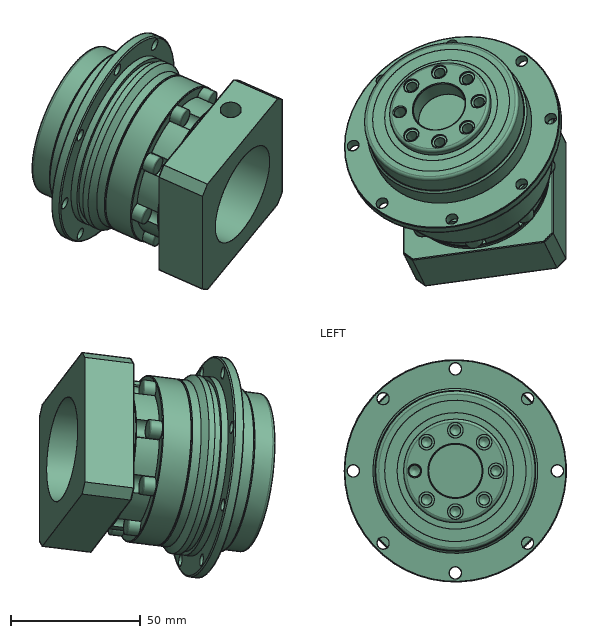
import cadquery as cq
import math

TOTAL_LENGTH = 80.0
X_FRONT = -TOTAL_LENGTH / 2
BOLT_COUNT = 8
EDGE_BREAK = 0.35

HUB_RADIUS = 20.0
HUB_HEIGHT = 3.0
HUB_EDGE = 1.1
OUTPUT_RADIUS = 22.5
OUTPUT_END = 19.6
BORE_RADIUS = 10.3
BORE_DEPTH = 8.25
BORE_CHAMFER = 0.35
TAP_CIRCLE_RADIUS = 15.7
TAP_RADIUS = 2.1
TAP_DEPTH = 10.3
TAP_RECESS_RADIUS = 3.0
TAP_RECESS_DEPTH = 0.9
DOWEL_RADIUS = 2.2
DOWEL_CHAMFER = 0.4
DRILL_POINT_ANGLE = 118.0

SEAL_RADIUS = 27.35
SEAL_THICKNESS = 6.9

NOSE_RADIUS = 30.9
NOSE_EDGE = 1.2
NOSE_END = 11.5
SHOULDER_RADIUS = 31.9
SHOULDER_CHAMFER = 0.8
FLANGE_RADIUS = 43.0
FLANGE_START = 19.6
FLANGE_END = 23.6
FLANGE_FRONT_CHAMFER = 0.3
FLANGE_REAR_CHAMFER = 0.5
FLANGE_HOLE_CIRCLE_RADIUS = 39.5
FLANGE_HOLE_RADIUS = 2.3
COLLAR_RADIUS = 34.9
GROOVE_START = 26.2
GROOVE_END = 28.9
GROOVE_RADIUS = 33.45
COLLAR_END = 31.3
BODY_RADIUS = 32.5
HOUSING_END = 37.5

RING_END = 49.3
REAR_RADIUS = 28.3
REAR_END = 58.6
SCREW_CIRCLE_RADIUS = 28.7
SCREW_HEAD_RADIUS = 3.6
SCREW_HEAD_HEIGHT = 4.9
SCREW_HEAD_EDGE = 0.3
POCKET_RADIUS = 3.8

BOSS_RADIUS = 28.5
PLATE_START = 60.0
PLATE_SIDE = 59.85
PLATE_CORNER = 3.6
MOTOR_BORE_RADIUS = 20.4
MOTOR_BORE_DEPTH = 17.2
ACCESS_X = 67.4
ACCESS_Y = 12.0
ACCESS_RADIUS = 4.0
ACCESS_DEPTH = 8.6
SCREW_SEAT_RADIUS = 2.7
SCREW_SEAT_DEPTH = 0.9
SCREW_HOLE_RADIUS = 2.15


def turned(points):
    """Solid of revolution about X from (distance from the gearbox front, radius) points."""
    profile = cq.Workplane("XY").polyline(points).close()
    return profile.revolve(360, (0, 0, 0), (1, 0, 0)).translate((X_FRONT, 0, 0))


def disc(start, end, radius):
    return cq.Workplane("YZ", origin=(X_FRONT + start, 0, 0)).circle(radius).extrude(end - start)


def around_axis(shape, circle_radius, count=BOLT_COUNT, skip=()):
    """Copies of a shape built on the axis, spread over a circle that starts at +Y."""
    copies = []
    for i in range(count):
        if i not in skip:
            moved = shape.translate((0, circle_radius, 0))
            copies.append(moved.rotate((0, 0, 0), (1, 0, 0), i * 360 / count))
    return copies


def cut_all(body, tools):
    for tool in tools:
        body = body.cut(tool)
    return body


def blind_hole(radius):
    """Drilled hole in the output flange, with its conical bottom."""
    point_height = radius / math.tan(math.radians(DRILL_POINT_ANGLE / 2))
    return turned([(0, 0), (0, radius), (TAP_DEPTH, radius), (TAP_DEPTH + point_height, 0)])


def make_output_flange():
    hub = disc(0, HUB_HEIGHT, HUB_RADIUS).faces("<X").edges().fillet(HUB_EDGE)
    body = hub.union(disc(HUB_HEIGHT, OUTPUT_END, OUTPUT_RADIUS))
    bore = turned([
        (0, 0),
        (0, BORE_RADIUS + BORE_CHAMFER),
        (BORE_CHAMFER, BORE_RADIUS),
        (BORE_DEPTH, BORE_RADIUS),
        (BORE_DEPTH, 0),
    ])
    tapped_hole = blind_hole(TAP_RADIUS).union(disc(0, TAP_RECESS_DEPTH, TAP_RECESS_RADIUS))
    tapped_holes = around_axis(tapped_hole, TAP_CIRCLE_RADIUS, skip=(0,))
    dowel_entry = turned([
        (0, 0),
        (0, DOWEL_RADIUS + DOWEL_CHAMFER),
        (DOWEL_CHAMFER, DOWEL_RADIUS),
        (DOWEL_CHAMFER, 0),
    ])
    dowel_hole = blind_hole(DOWEL_RADIUS).union(dowel_entry).translate((0, TAP_CIRCLE_RADIUS, 0))
    return cut_all(body, [bore, dowel_hole, *tapped_holes])


def make_seal():
    seal_end = HUB_HEIGHT + SEAL_THICKNESS
    return disc(HUB_HEIGHT, seal_end, SEAL_RADIUS).cut(disc(HUB_HEIGHT, seal_end, OUTPUT_RADIUS))


def make_front_housing():
    nose = disc(HUB_HEIGHT, NOSE_END, NOSE_RADIUS).faces("<X").edges().fillet(NOSE_EDGE)
    main = turned([
        (NOSE_END, 0),
        (NOSE_END, SHOULDER_RADIUS - SHOULDER_CHAMFER),
        (NOSE_END + SHOULDER_CHAMFER, SHOULDER_RADIUS),
        (FLANGE_START, SHOULDER_RADIUS),
        (FLANGE_START, FLANGE_RADIUS - FLANGE_FRONT_CHAMFER),
        (FLANGE_START + FLANGE_FRONT_CHAMFER, FLANGE_RADIUS),
        (FLANGE_END - FLANGE_REAR_CHAMFER, FLANGE_RADIUS),
        (FLANGE_END, FLANGE_RADIUS - FLANGE_REAR_CHAMFER),
        (FLANGE_END, COLLAR_RADIUS),
        (GROOVE_START, COLLAR_RADIUS),
        (GROOVE_START, GROOVE_RADIUS),
        (GROOVE_END, GROOVE_RADIUS),
        (GROOVE_END, COLLAR_RADIUS),
        (COLLAR_END, COLLAR_RADIUS),
        (COLLAR_END + COLLAR_RADIUS - BODY_RADIUS, BODY_RADIUS),
        (HOUSING_END - EDGE_BREAK, BODY_RADIUS),
        (HOUSING_END, BODY_RADIUS - EDGE_BREAK),
        (HOUSING_END, 0),
    ])
    seal_recess = disc(HUB_HEIGHT, HUB_HEIGHT + SEAL_THICKNESS, SEAL_RADIUS)
    output_recess = disc(HUB_HEIGHT, OUTPUT_END, OUTPUT_RADIUS)
    flange_hole = disc(FLANGE_START, FLANGE_END, FLANGE_HOLE_RADIUS)
    flange_holes = around_axis(flange_hole, FLANGE_HOLE_CIRCLE_RADIUS)
    return cut_all(nose.union(main), [seal_recess, output_recess, *flange_holes])


def make_rear_housing():
    """Ring and smaller rear part, with the screw heads seated in pockets around it."""
    ring = disc(HOUSING_END, RING_END, BODY_RADIUS).edges().chamfer(EDGE_BREAK)
    body = ring.union(disc(RING_END, REAR_END, REAR_RADIUS))
    pocket = disc(RING_END, REAR_END, POCKET_RADIUS)
    body = cut_all(body, around_axis(pocket, SCREW_CIRCLE_RADIUS))
    head = disc(RING_END, RING_END + SCREW_HEAD_HEIGHT, SCREW_HEAD_RADIUS)
    head = head.faces(">X").edges().fillet(SCREW_HEAD_EDGE)
    for screw_head in around_axis(head, SCREW_CIRCLE_RADIUS):
        body = body.union(screw_head)
    return body


def make_motor_adapter():
    plate = cq.Workplane("YZ", origin=(X_FRONT + PLATE_START, 0, 0)).rect(PLATE_SIDE, PLATE_SIDE)
    plate = plate.extrude(TOTAL_LENGTH - PLATE_START).edges("|X").chamfer(PLATE_CORNER)
    plate = plate.faces("<X").edges().chamfer(EDGE_BREAK)
    boss = disc(REAR_END, PLATE_START, BOSS_RADIUS).faces("<X").edges().chamfer(EDGE_BREAK)
    motor_bore = disc(TOTAL_LENGTH - MOTOR_BORE_DEPTH, TOTAL_LENGTH, MOTOR_BORE_RADIUS)

    top = PLATE_SIDE / 2
    drill_plane = cq.Workplane("XY", origin=(X_FRONT + ACCESS_X, ACCESS_Y, top))
    seat_bottom = ACCESS_DEPTH + SCREW_SEAT_DEPTH
    access = drill_plane.circle(ACCESS_RADIUS).extrude(-ACCESS_DEPTH)
    access = access.union(drill_plane.circle(SCREW_SEAT_RADIUS).extrude(-seat_bottom))
    access = access.union(drill_plane.circle(SCREW_HOLE_RADIUS).extrude(-top))
    return plate.union(boss).cut(motor_bore).cut(access)


output_flange = make_output_flange()
seal = make_seal()
front_housing = make_front_housing()
rear_housing = make_rear_housing()
motor_adapter = make_motor_adapter()

result = cq.Compound.makeCompound([
    output_flange.val(),
    seal.val(),
    front_housing.val(),
    rear_housing.val(),
    motor_adapter.val(),
])